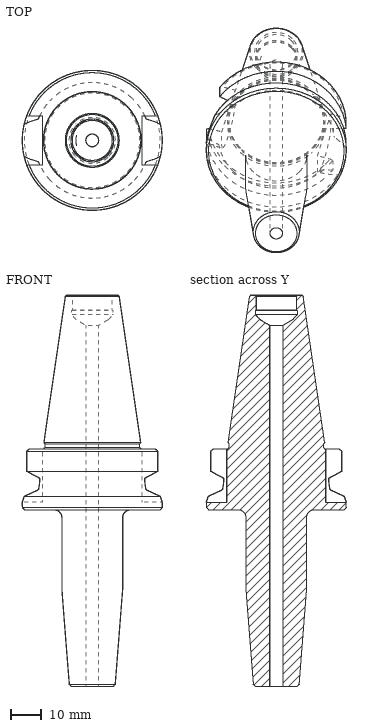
import cadquery as cq
import math

total_height = 128.4
gauge_z = 80.0
flange_top_z = 78.0
flange_bottom_z = 57.9
nose_cone_top_z = 32.0

taper_ratio = 7 / 24
gauge_radius = 15.9
taper_small_radius = gauge_radius - (total_height - gauge_z) * taper_ratio / 2
taper_top_chamfer = 0.4
neck_radius = 15.5
neck_flare = 0.5

flange_radius = 23.0
flange_chamfer = 0.8
groove_radius = 19.0
groove_rim_top_z = 70.6
groove_fillet = 0.5
groove_floor_top_z = 68.3
groove_floor_bottom_z = 64.6
groove_rim_bottom_z = 62.4

slot_width = 16.0
slot_bottom_z = 60.5
slot_floor_x = 16.3

shank_radius = 10.0
shank_fillet = 2.5
nose_radius = 7.6
nose_chamfer = 0.8

mouth_radius = 7.0
mouth_depth = 0.5
counterbore_radius = 6.5
counterbore_depth = 4.9
relief_radius = 6.8
relief_length = 1.8
floor_radius = 5.4
floor_depth = 8.0
drill_point_angle = 118.0
through_radius = 2.0


def make_body():
    """Revolve the outer profile about Z."""
    profile = (
        cq.Workplane("XZ")
        .lineTo(nose_radius - nose_chamfer, 0)
        .lineTo(nose_radius, nose_chamfer)
        .lineTo(shank_radius, nose_cone_top_z)
        .lineTo(shank_radius, flange_bottom_z - shank_fillet)
        .radiusArc((shank_radius + shank_fillet, flange_bottom_z), shank_fillet)
        .lineTo(flange_radius - flange_chamfer, flange_bottom_z)
        .lineTo(flange_radius, flange_bottom_z + flange_chamfer)
        .lineTo(flange_radius, groove_rim_bottom_z)
        .lineTo(groove_radius, groove_floor_bottom_z)
        .lineTo(groove_radius, groove_floor_top_z)
        .lineTo(flange_radius, groove_rim_top_z)
        .lineTo(flange_radius, flange_top_z - flange_chamfer)
        .lineTo(flange_radius - flange_chamfer, flange_top_z)
        .lineTo(neck_radius + neck_flare, flange_top_z)
        .lineTo(neck_radius, flange_top_z + neck_flare)
        .lineTo(neck_radius, gauge_z - (gauge_radius - neck_radius))
        .lineTo(gauge_radius, gauge_z)
        .lineTo(taper_small_radius, total_height - taper_top_chamfer)
        .lineTo(taper_small_radius - taper_top_chamfer, total_height)
        .lineTo(0, total_height)
        .close()
    )
    body = profile.revolve(360, (0, 0, 0), (0, 1, 0))
    return fillet_groove(body)


def fillet_groove(body):
    """Round the two inner corners of the V-groove."""
    for corner_z in (groove_floor_bottom_z, groove_floor_top_z):
        selector = cq.selectors.BoxSelector(
            (-flange_radius, -flange_radius, corner_z - groove_fillet / 4),
            (flange_radius, flange_radius, corner_z + groove_fillet / 4),
            boundingbox=True,
        )
        body = body.edges(selector).fillet(groove_fillet)
    return body


def make_bore():
    """Bore with a relief groove, narrowing to a conical floor with a through hole."""
    cone_height = (floor_radius - through_radius) / math.tan(math.radians(drill_point_angle / 2))
    relief_top_z = total_height - counterbore_depth
    relief_step = relief_radius - counterbore_radius
    floor_z = total_height - floor_depth
    return (
        cq.Workplane("XZ")
        .lineTo(through_radius, 0)
        .lineTo(through_radius, floor_z - cone_height)
        .lineTo(floor_radius, floor_z)
        .lineTo(counterbore_radius, relief_top_z - relief_length)
        .lineTo(relief_radius, relief_top_z - relief_length + relief_step)
        .lineTo(relief_radius, relief_top_z - relief_step)
        .lineTo(counterbore_radius, relief_top_z)
        .lineTo(counterbore_radius, total_height - mouth_depth)
        .lineTo(mouth_radius, total_height)
        .lineTo(0, total_height)
        .close()
        .revolve(360, (0, 0, 0), (0, 1, 0))
    )


def make_drive_slot(side):
    """Round-bottomed slot, open at the top of the flange, on the +X or -X side."""
    half_width = slot_width / 2
    arc_center_z = slot_bottom_z + half_width
    return (
        cq.Workplane("YZ", origin=(side * slot_floor_x, 0, 0))
        .moveTo(-half_width, flange_top_z)
        .lineTo(-half_width, arc_center_z)
        .threePointArc((0, slot_bottom_z), (half_width, arc_center_z))
        .lineTo(half_width, flange_top_z)
        .close()
        .extrude(side * flange_radius)
    )


result = make_body().cut(make_bore())
for side in (-1, 1):
    result = result.cut(make_drive_slot(side))